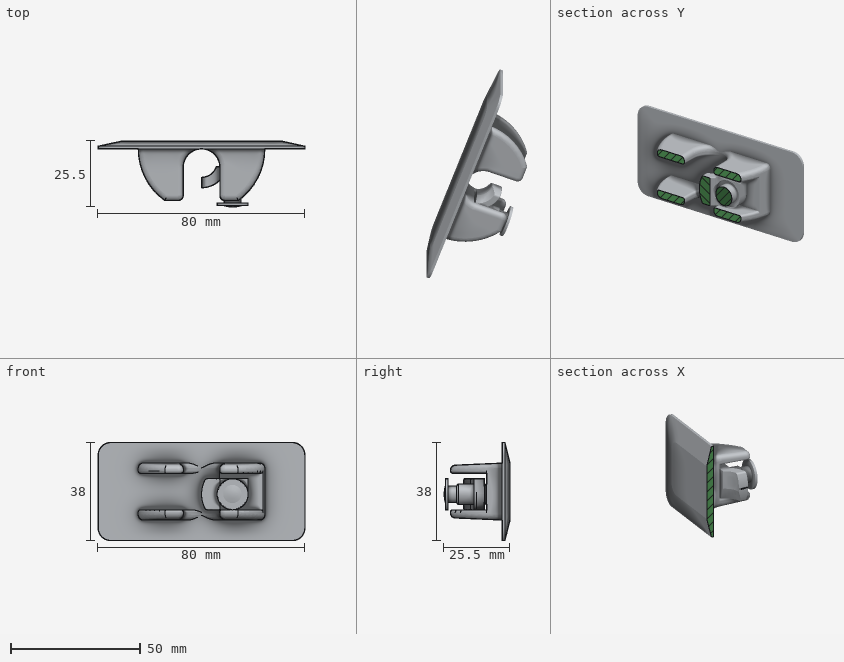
import cadquery as cq
import math

SELECT_MARGIN = 0.4

PLATE_LENGTH = 80.0
PLATE_HEIGHT = 38.0
PLATE_CORNER_RADIUS = 5.0
RIM_THICKNESS = 1.0
PLATE_THICKNESS = 3.0
BACK_LENGTH = 61.8
BACK_HEIGHT = 22.0
BACK_CORNER_RADIUS = 4.5

FIN_RADIUS = 24.5
FIN_DEPTH = 20.0
FIN_INNER_Z = 7.0
FIN_ROOT_THICKNESS = 4.0
FIN_TIP_THICKNESS = 3.1
FIN_ROOT_EMBED = 2.4
SLOT_RADIUS = 7.0
SLOT_CORNER_RADIUS = 2.1
FIN_OUTER_FILLET = 2.0
FIN_INNER_FILLET = 1.0
FLANK_MIDDLE_ANGLE = math.radians(30)

BLOCK_DEPTH = 6.0

PIN_X = 12.0
PIN_Z = -1.0
SHAFT_RADIUS = 4.0
JOURNAL_RADIUS = 3.3
BASE_SHOULDER_LENGTH = 0.6
COLLAR_FRONT_DEPTH = 17.7
HEAD_RADIUS = 6.0
HEAD_BACK_DEPTH = 20.9
HEAD_THICKNESS = 1.0
DOME_RADIUS = 3.5
DOME_HEIGHT = 0.6

LATCH_BACK_DEPTH = 6.9
LATCH_HALF_HEIGHT = 6.0
FLANGE_FRONT_DEPTH = 11.0
RECESS_RADIUS = 5.7
RECESS_DEPTH = 1.0
ROD_AXIS_DEPTH = 5.0
HOOK_INNER_RADIUS = 6.0
HOOK_OUTER_RADIUS = 10.1
HOOK_STEP_FILLET = 1.0
HOOK_LEAD_IN_HEIGHT = 4.7
HOOK_LEAD_IN_WIDTH = 1.7
HOOK_ARC_FILLET = 0.3
HOOK_TIP_FILLET = 1.0


def rounded_rectangle(length, height, radius):
    return cq.Sketch().rect(length, height).vertices().fillet(radius)


def cylinder_y(radius, back_depth, front_depth):
    """Cylinder on the pin axis between two depths in front of the plate face."""
    plane = cq.Workplane("XZ", origin=(PIN_X, -back_depth, PIN_Z))
    return plane.circle(radius).extrude(front_depth - back_depth)


def box_between(x, y, z):
    """Box given by its (low, high) limits along each axis."""
    size = [high - low for low, high in (x, y, z)]
    return cq.Workplane("XY").box(*size, centered=False).translate((x[0], y[0], z[0]))


def make_plate():
    """Rim standing on the front face y = 0, and a taper from it to the back flat."""
    front_outline = rounded_rectangle(PLATE_LENGTH, PLATE_HEIGHT, PLATE_CORNER_RADIUS)
    back_outline = rounded_rectangle(BACK_LENGTH, BACK_HEIGHT, BACK_CORNER_RADIUS)
    back_outline = back_outline.moved(cq.Location(cq.Vector(0, 0, RIM_THICKNESS - PLATE_THICKNESS)))
    rim_plane = cq.Workplane("XZ", origin=(0, RIM_THICKNESS, 0))
    rim = rim_plane.placeSketch(front_outline).extrude(RIM_THICKNESS)
    taper = rim_plane.placeSketch(front_outline, back_outline).loft(ruled=True)
    return rim.union(taper)


def fin_outline(z, height):
    """Fin shape extruded up from z: a round flank cut off at the tip, with the rod slot."""
    tip_half_width = math.sqrt(FIN_RADIUS**2 - FIN_DEPTH**2)
    flank_y = -FIN_RADIUS * math.sin(FLANK_MIDDLE_ANGLE)
    flank_x = FIN_RADIUS * math.cos(FLANK_MIDDLE_ANGLE)
    return (
        cq.Workplane("XY", origin=(0, 0, z))
        .moveTo(-FIN_RADIUS, FIN_ROOT_EMBED)
        .lineTo(-FIN_RADIUS, 0)
        .threePointArc((-flank_x, flank_y), (-tip_half_width, -FIN_DEPTH))
        .lineTo(-SLOT_RADIUS, -FIN_DEPTH)
        .lineTo(-SLOT_RADIUS, -SLOT_RADIUS)
        .threePointArc((0, 0), (SLOT_RADIUS, -SLOT_RADIUS))
        .lineTo(SLOT_RADIUS, -FIN_DEPTH)
        .lineTo(tip_half_width, -FIN_DEPTH)
        .threePointArc((flank_x, flank_y), (FIN_RADIUS, 0))
        .lineTo(FIN_RADIUS, FIN_ROOT_EMBED)
        .close()
        .extrude(height)
    )


def make_upper_fin():
    """Fin with a flat inner face and an outer face that slopes in toward the tip."""
    draft = (FIN_ROOT_THICKNESS - FIN_TIP_THICKNESS) / FIN_DEPTH
    embedded_thickness = FIN_ROOT_THICKNESS + draft * FIN_ROOT_EMBED
    wedge = (
        cq.Workplane("YZ", origin=(-FIN_RADIUS, 0, 0))
        .moveTo(FIN_ROOT_EMBED, FIN_INNER_Z)
        .lineTo(FIN_ROOT_EMBED, FIN_INNER_Z + embedded_thickness)
        .lineTo(-FIN_DEPTH, FIN_INNER_Z + FIN_TIP_THICKNESS)
        .lineTo(-FIN_DEPTH, FIN_INNER_Z)
        .close()
        .extrude(2 * FIN_RADIUS)
    )
    fin = fin_outline(FIN_INNER_Z, embedded_thickness)
    slot_corners = cq.selectors.BoxSelector(
        (-SLOT_RADIUS - SELECT_MARGIN, -FIN_DEPTH - SELECT_MARGIN, 0),
        (SLOT_RADIUS + SELECT_MARGIN, -FIN_DEPTH + SELECT_MARGIN, PLATE_HEIGHT),
    )
    fin = fin.edges("|Z").edges(slot_corners).fillet(SLOT_CORNER_RADIUS)
    fin = fin.intersect(wedge)
    fin = fin.faces(">Z").edges("not >Y").fillet(FIN_OUTER_FILLET)
    return fin.faces("<Z").edges("not >Y").fillet(FIN_INNER_FILLET)


def make_block():
    """Part of the fin shape right of centre, filling the gap between the fins."""
    limits = box_between((0, FIN_RADIUS), (-BLOCK_DEPTH, FIN_ROOT_EMBED), (-PLATE_HEIGHT, PLATE_HEIGHT))
    overlap = FIN_INNER_Z + FIN_INNER_FILLET
    return fin_outline(-overlap, 2 * overlap).intersect(limits)


def make_bracket():
    """Plate, both fins and the block, with a blind hole for the pin."""
    fin = make_upper_fin()
    bracket = make_plate().union(fin).union(fin.mirror("XY")).union(make_block())
    return bracket.cut(cylinder_y(SHAFT_RADIUS, 0, BLOCK_DEPTH))


def make_hook():
    """Arm from the step beside the fin slot to a tip that is round about the pin axis."""
    low_z = PIN_Z - LATCH_HALF_HEIGHT
    rod_plane = cq.Workplane("XY", origin=(0, -ROD_AXIS_DEPTH, low_z))
    arm = rod_plane.circle(HOOK_OUTER_RADIUS).extrude(2 * LATCH_HALF_HEIGHT)
    limits = box_between(
        (-HOOK_OUTER_RADIUS, SLOT_RADIUS),
        (-ROD_AXIS_DEPTH - HOOK_OUTER_RADIUS, -LATCH_BACK_DEPTH),
        (low_z, low_z + 2 * LATCH_HALF_HEIGHT),
    )
    tip_round = cylinder_y(PIN_X, 0, ROD_AXIS_DEPTH + HOOK_OUTER_RADIUS)
    return arm.intersect(limits).intersect(tip_round)


def make_flange():
    """Plate around the pin, square at the top right and round at the bottom right."""
    right_x = PIN_X + LATCH_HALF_HEIGHT
    low_z = PIN_Z - LATCH_HALF_HEIGHT
    high_z = PIN_Z + LATCH_HALF_HEIGHT
    arc_offset = LATCH_HALF_HEIGHT * math.sqrt(0.5)
    return (
        cq.Workplane("XZ", origin=(0, -LATCH_BACK_DEPTH, 0))
        .moveTo(SLOT_RADIUS, low_z)
        .lineTo(PIN_X, low_z)
        .threePointArc((PIN_X + arc_offset, PIN_Z - arc_offset), (right_x, PIN_Z))
        .lineTo(right_x, high_z)
        .lineTo(SLOT_RADIUS, high_z)
        .close()
        .extrude(FLANGE_FRONT_DEPTH - LATCH_BACK_DEPTH)
    )


def make_latch():
    """Hook and flange in one piece, hollowed for the rod and the pin."""
    low_z = PIN_Z - LATCH_HALF_HEIGHT
    high_z = PIN_Z + LATCH_HALF_HEIGHT
    latch = make_hook().union(make_flange())
    step = cq.selectors.BoxSelector(
        (SLOT_RADIUS - SELECT_MARGIN, -FLANGE_FRONT_DEPTH - SELECT_MARGIN, low_z),
        (SLOT_RADIUS + SELECT_MARGIN, -FLANGE_FRONT_DEPTH + SELECT_MARGIN, high_z),
    )
    latch = latch.edges("|Z").edges(step).fillet(HOOK_STEP_FILLET)
    latch = latch.faces("<X").edges("|Y").fillet(HOOK_TIP_FILLET)
    latch = latch.faces("<Y").edges("not >X").fillet(HOOK_ARC_FILLET)

    recess_floor = FLANGE_FRONT_DEPTH - RECESS_DEPTH
    recess = cylinder_y(RECESS_RADIUS, recess_floor, COLLAR_FRONT_DEPTH)
    bore = cylinder_y(JOURNAL_RADIUS, LATCH_BACK_DEPTH, recess_floor)

    passage = (
        cq.Workplane("XZ", origin=(0, -ROD_AXIS_DEPTH, low_z))
        .lineTo(HOOK_INNER_RADIUS + HOOK_LEAD_IN_WIDTH, 0)
        .lineTo(HOOK_INNER_RADIUS, HOOK_LEAD_IN_HEIGHT)
        .lineTo(HOOK_INNER_RADIUS, 2 * LATCH_HALF_HEIGHT)
        .lineTo(0, 2 * LATCH_HALF_HEIGHT)
        .close()
        .revolve(360, (0, 0, 0), (0, 1, 0))
    )
    return latch.cut(passage).cut(recess).cut(bore)


def make_pin():
    """Turned about the Y axis through the pin centre; the profile runs radius against depth."""
    head_front = HEAD_BACK_DEPTH + HEAD_THICKNESS
    dome_top = head_front + DOME_HEIGHT
    dome_sphere_radius = (DOME_RADIUS**2 + DOME_HEIGHT**2) / (2 * DOME_HEIGHT)
    mid_dome_radius = DOME_RADIUS / 2
    mid_dome_depth = dome_top - dome_sphere_radius + math.sqrt(dome_sphere_radius**2 - mid_dome_radius**2)
    collar_back = FLANGE_FRONT_DEPTH - RECESS_DEPTH
    collar_chamfer = SHAFT_RADIUS - JOURNAL_RADIUS
    plane = cq.Plane(origin=(PIN_X, 0, PIN_Z), xDir=(1, 0, 0), normal=(0, 0, -1))
    return (
        cq.Workplane(plane)
        .lineTo(SHAFT_RADIUS, 0)
        .lineTo(SHAFT_RADIUS, LATCH_BACK_DEPTH - BASE_SHOULDER_LENGTH)
        .lineTo(JOURNAL_RADIUS, LATCH_BACK_DEPTH)
        .lineTo(JOURNAL_RADIUS, collar_back)
        .lineTo(SHAFT_RADIUS, collar_back)
        .lineTo(SHAFT_RADIUS, COLLAR_FRONT_DEPTH - collar_chamfer)
        .lineTo(JOURNAL_RADIUS, COLLAR_FRONT_DEPTH)
        .lineTo(JOURNAL_RADIUS, HEAD_BACK_DEPTH)
        .lineTo(HEAD_RADIUS, HEAD_BACK_DEPTH)
        .lineTo(HEAD_RADIUS, head_front)
        .lineTo(DOME_RADIUS, head_front)
        .threePointArc((mid_dome_radius, mid_dome_depth), (0, dome_top))
        .close()
        .revolve(360, (0, 0, 0), (0, 1, 0))
    )


bracket = make_bracket()
latch = make_latch()
pin = make_pin()

result = cq.Compound.makeCompound([body.solids().val() for body in (bracket, latch, pin)])